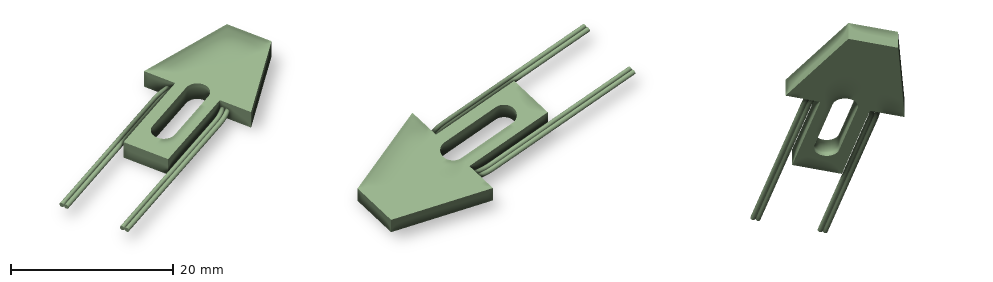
import cadquery as cq
import math

HEAD_WIDTH = 15.24
HEAD_LENGTH = 12.7
STEM_WIDTH = 6.35
STEM_LENGTH = 12.7
TIP_WIDTH = STEM_WIDTH
THICKNESS = 2.54

SLOT_WIDTH = STEM_WIDTH / 2
SLOT_LENGTH = 11.43
SLOT_REACH_INTO_HEAD = 1.524

LEAD_DIAMETER = 0.635
LEAD_PITCH = 0.65
PAIR_CENTER_X = 4.3
LEAD_REACH = 25.4
BEND_LENGTH = 2.54
BEND_RADIUS = 8.2
LEAD_EMBED = 0.3


def make_body():
    """Flat plate outlined by the tapered head and the stem."""
    outline = [
        (-TIP_WIDTH / 2, HEAD_LENGTH),
        (TIP_WIDTH / 2, HEAD_LENGTH),
        (HEAD_WIDTH / 2, 0),
        (STEM_WIDTH / 2, 0),
        (STEM_WIDTH / 2, -STEM_LENGTH),
        (-STEM_WIDTH / 2, -STEM_LENGTH),
        (-STEM_WIDTH / 2, 0),
        (-HEAD_WIDTH / 2, 0),
    ]
    return cq.Workplane("XY").polyline(outline).close().extrude(THICKNESS / 2, both=True)


def make_slot():
    """Round-ended cutter running along Y."""
    slot_center_y = SLOT_REACH_INTO_HEAD - SLOT_LENGTH / 2
    return (
        cq.Workplane("XY")
        .center(0, slot_center_y)
        .slot2D(SLOT_LENGTH, SLOT_WIDTH, angle=90)
        .extrude(THICKNESS, both=True)
    )


def make_lead(offset):
    """Lead on the +X side, offset outward from the middle of its pair."""
    start_x = PAIR_CENTER_X + offset
    radius = BEND_RADIUS + offset
    bend_angle = math.asin((BEND_LENGTH + LEAD_EMBED) / radius)

    def bend_point(angle):
        shift_x = radius * (1 - math.cos(angle))
        return (start_x - shift_x, radius * math.sin(angle) - BEND_LENGTH)

    path = (
        cq.Workplane("XY")
        .moveTo(start_x, -LEAD_REACH)
        .lineTo(start_x, -BEND_LENGTH)
        .threePointArc(bend_point(bend_angle / 2), bend_point(bend_angle))
    )
    return (
        cq.Workplane("XZ", origin=(start_x, -LEAD_REACH, 0))
        .circle(LEAD_DIAMETER / 2)
        .sweep(path)
    )


result = make_body().cut(make_slot())
for lead_offset in (-LEAD_PITCH / 2, LEAD_PITCH / 2):
    lead = make_lead(lead_offset)
    result = result.union(lead).union(lead.mirror("YZ"))